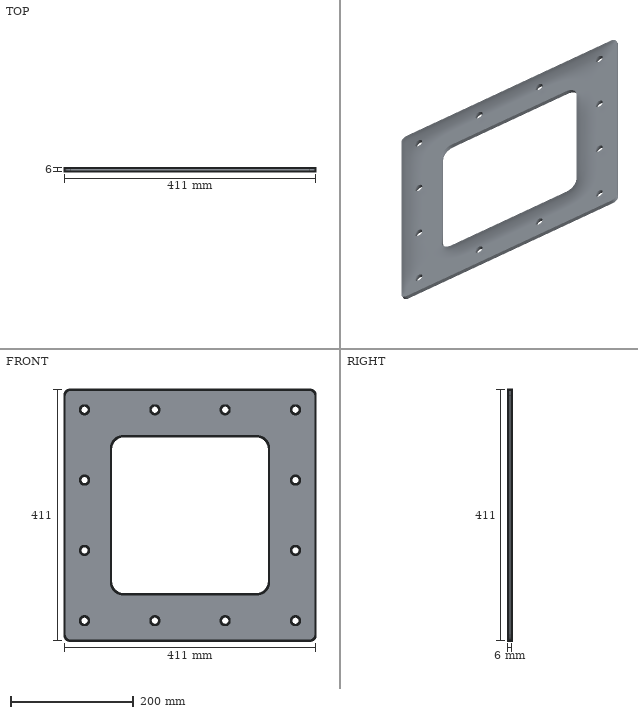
import cadquery as cq

plate_side = 411.0
plate_thickness = 6.0
plate_corner_radius = 10.0

window_side = 258.0
window_corner_radius = 20.0

hole_diameter = 14.0
hole_pitch = 115.0
holes_per_side = 4


def rounded_square(side, corner_radius):
    """Square slab of the plate's thickness, centred on the origin, with rounded corners."""
    slab = cq.Workplane("XY").box(side, plate_thickness, side)
    return slab.edges("|Y").fillet(corner_radius)


def bolt_positions():
    """Centres of the holes: the outer ring of a square grid."""
    last = holes_per_side - 1
    first_offset = -hole_pitch * last / 2
    return [
        (first_offset + column * hole_pitch, first_offset + row * hole_pitch)
        for column in range(holes_per_side)
        for row in range(holes_per_side)
        if column in (0, last) or row in (0, last)
    ]


def bolt_holes():
    """Cylinders that pass through the full thickness at every bolt position."""
    return (
        cq.Workplane("XZ")
        .pushPoints(bolt_positions())
        .circle(hole_diameter / 2)
        .extrude(plate_thickness / 2, both=True)
    )


plate = rounded_square(plate_side, plate_corner_radius)
window = rounded_square(window_side, window_corner_radius)
result = plate.cut(window).cut(bolt_holes())